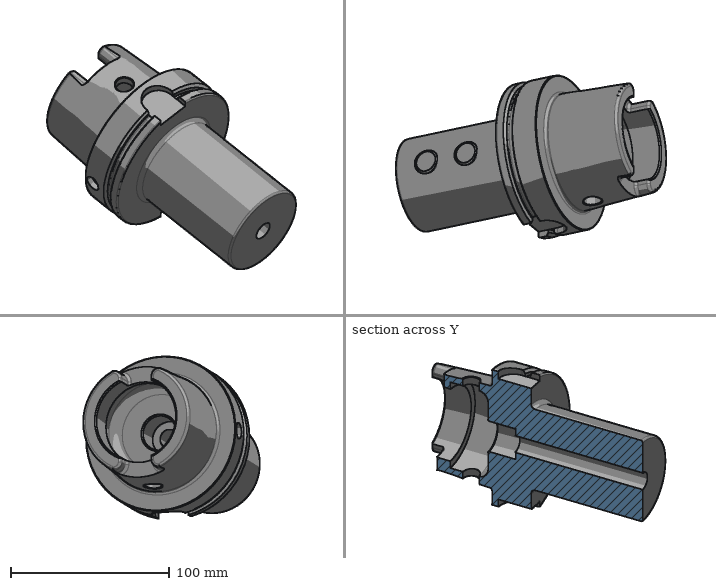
import cadquery as cq
import math


overall_length = 159.9
taper_length = 49.9
flange_length = 29.0
taper_front_x = -taper_length
nose_end_x = overall_length - taper_length

gauge_diameter = 75.0
gauge_distance = 10.0
taper_ratio = 1 / 10
relief_width = 2.4
relief_diameter = 75.5
relief_fillet = 1.8
front_fillet = 1.8

flange_diameter = 100.0
flange_front_chamfer = 0.5
flange_rear_fillet = 1.0
groove_center_x = 20.0
groove_top_width = 6.4
groove_bottom_width = 3.8
groove_flank_depth = 2.2
groove_diameter = 92.0
groove_fillet = 0.6

nose_diameter = 60.1
nose_root_fillet = 2.7
nose_end_fillet = 1.3

bore_diameter = 53.0
bore_chamfer = 1.0
bore_length = 19.8
cavity_diameter = 63.0
cavity_floor_x = -2.9
cavity_floor_diameter = 49.5

tube_thread_diameter = 22.0
tube_thread_depth = 20.0
tube_thread_chamfer = 1.0
coolant_diameter = 12.0

key_slot_width = 20.0
key_shelf_height = 32.0
key_edge_radius = 4.8
key_floor_fillet = 1.9
upper_key_depth = 15.0
lower_key_depth = 9.9

cross_hole_diameter = 11.5
cross_hole_x = -15.0
cross_hole_chamfer = 0.5

drive_slot_width = 21.7
drive_slot_start_x = 4.8
drive_slot_floor = 44.6

chip_hole_diameter = 10.0
chip_hole_x = 7.0
chip_hole_depth = 4.5

screw_diameter = 16.0
screw_length = 16.0
screw_chamfer = 1.3
first_screw_x = 60.0
screw_spacing = 28.1
screw_count = 2

flange_radius = flange_diameter / 2
nose_radius = nose_diameter / 2
screw_bottom_y = nose_radius - screw_length
screw_positions = [first_screw_x + i * screw_spacing for i in range(screw_count)]


def taper_radius(x):
    """Outer radius of the taper at the axial position x."""
    return (gauge_diameter + taper_ratio * (x + gauge_distance)) / 2


def revolve_about_x(profile):
    """Full turn of a profile drawn with x as axial position and y as radius."""
    return profile.close().revolve(360, (0, 0, 0), (1, 0, 0))


def cylinder_along_x(diameter, start_x, length):
    return cq.Workplane("YZ", origin=(start_x, 0, 0)).circle(diameter / 2).extrude(length)


def cylinder_along_y(diameter, x, start_y, length):
    plane = cq.Plane(origin=(x, start_y, 0), xDir=(1, 0, 0), normal=(0, 1, 0))
    return cq.Workplane(plane).circle(diameter / 2).extrude(length)


def make_outer_form():
    """Turned outside of the taper, the flange and the nose."""
    taper_end_x = -relief_width
    relief_radius = relief_diameter / 2
    diagonal = 1 - math.sqrt(0.5)
    root_x = flange_length + nose_root_fillet
    return revolve_about_x(
        cq.Workplane("XY")
        .moveTo(taper_front_x, 0)
        .lineTo(taper_front_x, taper_radius(taper_front_x))
        .lineTo(taper_end_x, taper_radius(taper_end_x))
        .lineTo(-relief_fillet, relief_radius)
        .threePointArc(
            (-relief_fillet * diagonal, relief_radius + relief_fillet * diagonal),
            (0, relief_radius + relief_fillet),
        )
        .lineTo(0, flange_radius - flange_front_chamfer)
        .lineTo(flange_front_chamfer, flange_radius)
        .lineTo(flange_length - flange_rear_fillet, flange_radius)
        .threePointArc(
            (flange_length - flange_rear_fillet * diagonal, flange_radius - flange_rear_fillet * diagonal),
            (flange_length, flange_radius - flange_rear_fillet),
        )
        .lineTo(flange_length, nose_radius + nose_root_fillet)
        .threePointArc(
            (flange_length + nose_root_fillet * diagonal, nose_radius + nose_root_fillet * diagonal),
            (root_x, nose_radius),
        )
        .lineTo(nose_end_x - nose_end_fillet, nose_radius)
        .threePointArc(
            (nose_end_x - nose_end_fillet * diagonal, nose_radius - nose_end_fillet * diagonal),
            (nose_end_x, nose_radius - nose_end_fillet),
        )
        .lineTo(nose_end_x, 0)
    )


def make_gripper_groove():
    """Ring cutter for the groove: flared at the rim, straight-sided and rounded at the bottom."""
    top_half = groove_top_width / 2
    bottom_half = groove_bottom_width / 2
    flank_radius = flange_radius - groove_flank_depth
    floor_radius = groove_diameter / 2
    groove = revolve_about_x(
        cq.Workplane("XY")
        .moveTo(groove_center_x - top_half, flange_radius)
        .lineTo(groove_center_x - bottom_half, flank_radius)
        .lineTo(groove_center_x - bottom_half, floor_radius)
        .lineTo(groove_center_x + bottom_half, floor_radius)
        .lineTo(groove_center_x + bottom_half, flank_radius)
        .lineTo(groove_center_x + top_half, flange_radius)
    )
    inner_edges = cq.selectors.RadiusNthSelector(0)
    return groove.edges(inner_edges).fillet(groove_fillet)


def make_key_slot(depth):
    """Cutter for the upper key slot: a straight channel that opens into shelves over rounded edges."""
    half_width = key_slot_width / 2
    arc_center_y = half_width + key_edge_radius
    arc_center_z = key_shelf_height - key_edge_radius
    arc_middle = key_edge_radius * math.sqrt(0.5)
    profile = (
        cq.Workplane("YZ", origin=(taper_front_x, 0, 0))
        .moveTo(-half_width, 0)
        .lineTo(half_width, 0)
        .lineTo(half_width, arc_center_z)
        .threePointArc(
            (arc_center_y - arc_middle, arc_center_z + arc_middle),
            (arc_center_y, key_shelf_height),
        )
        .lineTo(flange_radius, key_shelf_height)
        .lineTo(flange_radius, flange_radius)
        .lineTo(-flange_radius, flange_radius)
        .lineTo(-flange_radius, key_shelf_height)
        .lineTo(-arc_center_y, key_shelf_height)
        .threePointArc(
            (-arc_center_y + arc_middle, arc_center_z + arc_middle),
            (-half_width, arc_center_z),
        )
        .close()
    )
    return profile.extrude(depth).faces(">X").edges().fillet(key_floor_fillet)


def make_cavity():
    """Front bore that steps out into the cavity, with a rounded corner at its floor."""
    bore_radius = bore_diameter / 2
    cavity_radius = cavity_diameter / 2
    step_x = taper_front_x + bore_length
    floor_radius = cavity_floor_diameter / 2
    corner_radius = cavity_radius - floor_radius
    corner_middle = corner_radius * math.sqrt(0.5)
    corner_x = cavity_floor_x - corner_radius
    return revolve_about_x(
        cq.Workplane("XY")
        .moveTo(taper_front_x, 0)
        .lineTo(taper_front_x, bore_radius)
        .lineTo(step_x, bore_radius)
        .lineTo(step_x, cavity_radius)
        .lineTo(corner_x, cavity_radius)
        .threePointArc(
            (corner_x + corner_middle, floor_radius + corner_middle),
            (cavity_floor_x, floor_radius),
        )
        .lineTo(cavity_floor_x, 0)
    )


def make_bore_mouth():
    """Conical cutter for the chamfer at the front of the bore."""
    bore_radius = bore_diameter / 2
    return revolve_about_x(
        cq.Workplane("XY")
        .moveTo(taper_front_x, 0)
        .lineTo(taper_front_x, bore_radius + bore_chamfer)
        .lineTo(taper_front_x + bore_chamfer, bore_radius)
        .lineTo(taper_front_x + bore_chamfer, 0)
    )


def make_axial_bores():
    """Chamfered coolant tube bore in the cavity floor and the coolant channel through the nose."""
    mouth_radius = tube_thread_diameter / 2 + tube_thread_chamfer
    mouth = (
        cq.Workplane("YZ", origin=(cavity_floor_x, 0, 0))
        .circle(mouth_radius)
        .extrude(mouth_radius, taper=45)
    )
    tube_bore = cylinder_along_x(tube_thread_diameter, cavity_floor_x, tube_thread_depth)
    channel = cylinder_along_x(coolant_diameter, cavity_floor_x, nose_end_x - cavity_floor_x)
    return tube_bore.union(mouth).union(channel)


def make_drive_slot():
    """Cutter for one flat-floored slot, round at its front and open at the rear of the flange."""
    half_width = drive_slot_width / 2
    round_center_x = drive_slot_start_x + half_width
    return (
        cq.Workplane("XY", origin=(0, 0, drive_slot_floor))
        .moveTo(flange_length, half_width)
        .lineTo(round_center_x, half_width)
        .threePointArc((drive_slot_start_x, 0), (round_center_x, -half_width))
        .lineTo(flange_length, -half_width)
        .close()
        .extrude(flange_radius - drive_slot_floor)
    )


def drill_cross_hole(body):
    """Radial hole through both sides of the taper wall, chamfered at the outer surface."""
    hole = (
        cq.Workplane("XY", origin=(cross_hole_x, 0, -flange_radius))
        .circle(cross_hole_diameter / 2)
        .extrude(flange_diameter)
    )
    body = body.cut(hole)
    hole_radius = cross_hole_diameter / 2
    half_box = hole_radius + cross_hole_chamfer
    for side in (1, -1):
        outer_z = side * taper_radius(cross_hole_x)
        rim_box = cq.selectors.BoxSelector(
            (cross_hole_x - half_box, -half_box, outer_z - 1.6),
            (cross_hole_x + half_box, half_box, outer_z + 1.6),
        )
        body = body.edges(rim_box).chamfer(cross_hole_chamfer)
    return body


def make_holder():
    body = make_outer_form().cut(make_gripper_groove())
    body = body.cut(make_key_slot(upper_key_depth))
    body = body.cut(make_key_slot(lower_key_depth).rotate((0, 0, 0), (1, 0, 0), 180))
    body = body.faces("<X").edges().fillet(front_fillet)

    body = body.cut(make_cavity())
    body = body.cut(make_bore_mouth()).cut(make_axial_bores())
    body = drill_cross_hole(body)

    body = body.cut(make_drive_slot())
    body = body.cut(make_drive_slot().mirror("XY"))
    body = body.cut(cylinder_along_y(chip_hole_diameter, chip_hole_x, -flange_radius, chip_hole_depth))
    for x in screw_positions:
        body = body.cut(cylinder_along_y(screw_diameter, x, screw_bottom_y, screw_length))
    return body


def make_screw(x):
    """Clamping screw standing flush with the nose, chamfered at its outer end."""
    screw = cylinder_along_y(screw_diameter, x, screw_bottom_y, screw_length)
    return screw.faces(">Y").chamfer(screw_chamfer)


holder = make_holder()
screws = [make_screw(x) for x in screw_positions]

result = cq.Compound.makeCompound([holder.val(), *[screw.val() for screw in screws]])